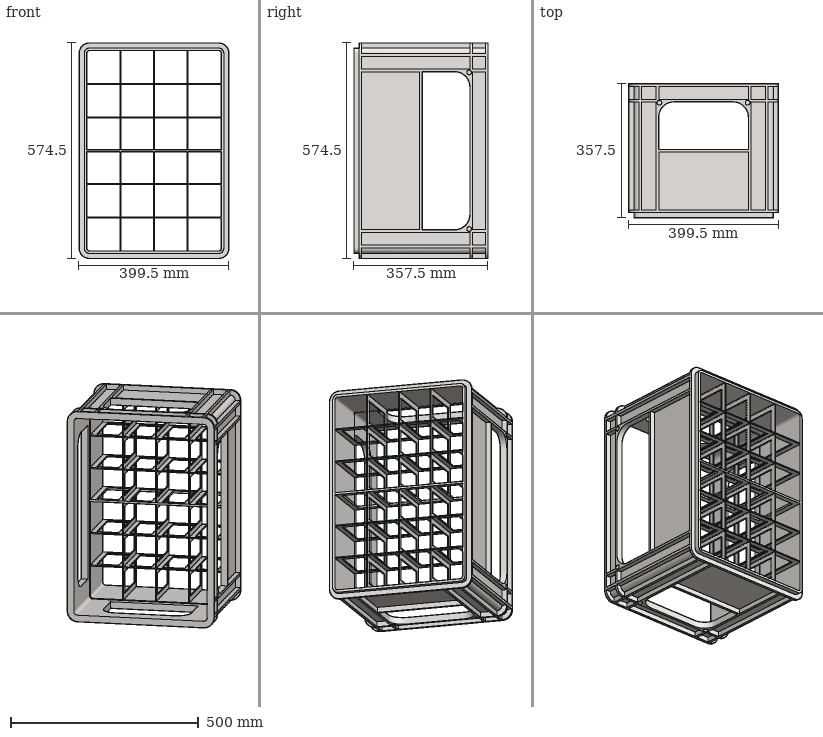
import cadquery as cq

width = 399.5
length = 574.5
depth = 357.5

rib_height = 14.0
rib_thickness = 7.0
wall_thickness = 7.0
upper_wall_thickness = 4.5
outer_radius = 27.5
foot_height = 14.0
core_radius = outer_radius - rib_height
inner_radius = core_radius - wall_thickness
core_width = width - 2 * rib_height
core_length = length - 2 * rib_height
cavity_width = core_width - 2 * wall_thickness
cavity_length = core_length - 2 * wall_thickness
mouth_width = core_width - 2 * upper_wall_thickness
mouth_length = core_length - 2 * upper_wall_thickness
mouth_radius = core_radius - upper_wall_thickness

handle_hoop_y = 308.5
hoop_positions = (foot_height, handle_hoop_y, depth - rib_thickness)

side_corner_rib = 8.0
side_rib_gap = 34.5
end_rib_gap = 39.0

sill_y = 175.0
opening_radius = 40.0
opening_bottom = sill_y + rib_thickness
opening_height = handle_hoop_y - opening_bottom
corner_hole_diameter = 12.5
corner_hole_inset = 2.0

columns = 4
rows = 6
thin_divider = 3.0
middle_divider = 6.0
divider_height = 161.0
divider_margin = 15.0


def box(size_x, size_y, size_z, x, y, z):
    """Box centred on x and z, with its lower side at y."""
    return cq.Workplane("XY").box(size_x, size_y, size_z).translate((x, y + size_y / 2, z))


def rounded_prism(size_x, size_z, radius, y, height):
    """Prism along Y with rounded lengthwise corners."""
    return box(size_x, height, size_z, 0, y, 0).edges("|Y").fillet(radius)


def face_frame(across, span, corner_rib, rib_gap):
    """Ribs and opening pads of the two opposite faces at -X and +X.

    across is the distance between the outer faces, span is the crate size along Z.
    Returns the frame and the cutters for the hand opening and its corner holes.
    """
    outer_rib_edge = span / 2 - outer_radius
    inner_rib_edge = outer_rib_edge - corner_rib - rib_gap
    opening_half = inner_rib_edge - rib_thickness
    rib_length = depth - foot_height
    rib_x = (across - rib_height) / 2

    frame = cq.Workplane("XY")
    cutters = box(across, opening_height, 2 * opening_half, 0, opening_bottom, 0)
    cutters = cutters.edges("|X and >Y").fillet(opening_radius)
    for side in (-1, 1):
        x = side * rib_x
        for end in (-1, 1):
            outer_z = end * (outer_rib_edge - corner_rib / 2)
            inner_z = end * (inner_rib_edge - rib_thickness / 2)
            frame = frame.add(box(rib_height, rib_length, corner_rib, x, foot_height, outer_z))
            frame = frame.add(box(rib_height, rib_length, rib_thickness, x, foot_height, inner_z))
            hole_y = handle_hoop_y - corner_hole_inset
            hole_z = end * (opening_half - corner_hole_inset)
            hole = cq.Workplane("YZ").circle(corner_hole_diameter / 2).extrude(rib_height / 2, both=True)
            cutters = cutters.union(hole.translate((x, hole_y, hole_z)))
        sill_and_pad = rib_thickness + opening_height
        frame = frame.add(box(rib_height, sill_and_pad, 2 * opening_half, x, sill_y, 0))
    return frame.combine(), cutters


def quarter_turn(shape):
    """Move the faces at -X and +X to -Z and +Z."""
    return shape.rotate((0, 0, 0), (0, 1, 0), 90)


def divider(thickness, span, cells, z):
    """Divider square to Z and running along X, with a window in every cell."""
    plate = box(span + wall_thickness, divider_height, thickness, 0, 0, z)
    pitch = span / cells
    window_width = pitch - 2 * divider_margin
    window_height = divider_height - 2 * divider_margin
    for cell in range(cells):
        x = (cell + 0.5) * pitch - span / 2
        plate = plate.cut(box(window_width, window_height, thickness, x, divider_margin, z))
    return plate


body = rounded_prism(core_width, core_length, core_radius, 0, depth)
for hoop_y in hoop_positions:
    body = body.union(rounded_prism(width, length, outer_radius, hoop_y, rib_thickness))

side_frame, side_cutters = face_frame(width, length, side_corner_rib, side_rib_gap)
end_frame, end_cutters = face_frame(length, width, rib_thickness, end_rib_gap)
body = body.union(side_frame).union(quarter_turn(end_frame))

body = body.cut(rounded_prism(cavity_width, cavity_length, inner_radius, 0, divider_height))
mouth_depth = depth - divider_height
body = body.cut(rounded_prism(mouth_width, mouth_length, mouth_radius, divider_height, mouth_depth))
body = body.cut(side_cutters).cut(quarter_turn(end_cutters))

for row in range(1, rows):
    thickness = middle_divider if 2 * row == rows else thin_divider
    z = row * cavity_length / rows - cavity_length / 2
    body = body.union(divider(thickness, cavity_width, columns, z))
for column in range(1, columns):
    x = column * cavity_width / columns - cavity_width / 2
    body = body.union(quarter_turn(divider(thin_divider, cavity_length, rows, x)))

result = body